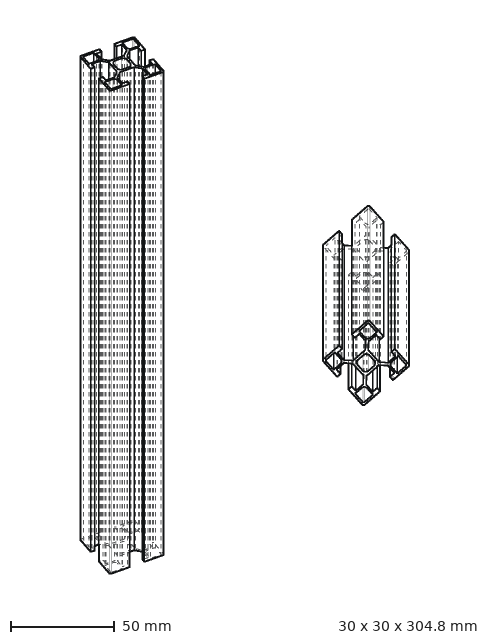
import cadquery as cq
import math

SIDE = 30.0
LENGTH = 304.8
CORNER_RADIUS = 0.8

SLOT_OPENING = 8.2
SLOT_INNER_WIDTH = 14.0
LIP_THICKNESS = 2.2

CORE_WIDTH = 10.0
WEB_THICKNESS = 1.5
BORE_WIDTH = 7.4
BORE_CORNER_RADIUS = 2.0

OUTER_WALL = 1.1
INNER_WALL = 0.85
HOLLOW_CORNER_RADIUS = 0.5
HOLLOW_WEB_RADIUS = 1.75

QUARTER_TURNS = (0, 90, 180, 270)


def make_bar():
    """Square bar with rounded long edges."""
    bar = cq.Workplane("XY").rect(SIDE, SIDE).extrude(LENGTH)
    return bar.edges("|Z").fillet(CORNER_RADIUS)


def make_slot():
    """T-slot opening towards +Y, with a floor flanked by the diagonal webs."""
    half_opening = SLOT_OPENING / 2
    half_inner = SLOT_INNER_WIDTH / 2
    half_side = SIDE / 2
    lip_y = half_side - LIP_THICKNESS
    core_y = CORE_WIDTH / 2
    web_rise = WEB_THICKNESS / math.sqrt(2)
    right_half = [
        (half_opening, half_side),
        (half_opening, lip_y),
        (half_inner, lip_y),
        (half_inner, half_inner + web_rise),
        (core_y - web_rise, core_y),
    ]
    left_half = [(-x, y) for x, y in reversed(right_half)]
    return cq.Workplane("XY").polyline(right_half + left_half).close().extrude(LENGTH)


def make_corner_hollow():
    """Square cavity of the +X +Y corner box, rounded most where the web joins."""
    near = SLOT_INNER_WIDTH / 2 + INNER_WALL
    far = SIDE / 2 - OUTER_WALL
    width = far - near
    center = (near + far) / 2
    hollow = cq.Workplane("XY").center(center, center).rect(width, width).extrude(LENGTH)
    web_corner = cq.selectors.NearestToPointSelector((near, near, LENGTH / 2))
    hollow = hollow.edges(web_corner).fillet(HOLLOW_WEB_RADIUS)
    outer_corner = cq.selectors.NearestToPointSelector((far, far, LENGTH / 2))
    return hollow.edges(outer_corner).fillet(HOLLOW_CORNER_RADIUS)


def make_bore():
    """Square central bore with rounded corners."""
    bore = cq.Workplane("XY").rect(BORE_WIDTH, BORE_WIDTH).extrude(LENGTH)
    return bore.edges("|Z").fillet(BORE_CORNER_RADIUS)


def make_profile():
    profile = make_bar().cut(make_bore())
    slot = make_slot()
    hollow = make_corner_hollow()
    origin = (0, 0, 0)
    z_axis = (0, 0, 1)
    for angle in QUARTER_TURNS:
        profile = profile.cut(slot.rotate(origin, z_axis, angle))
        profile = profile.cut(hollow.rotate(origin, z_axis, angle))
    return profile


result = make_profile()